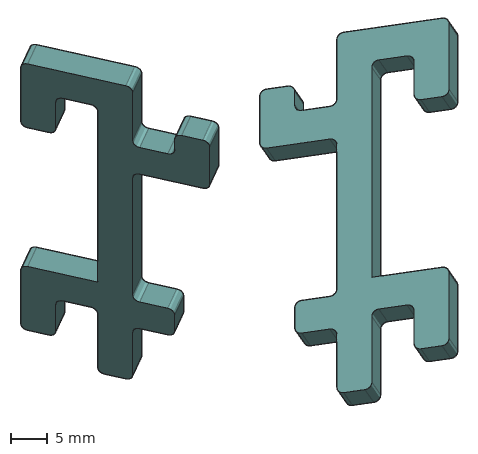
import cadquery as cq

height = 55.0
thickness = 4.0
bar_width = 5.0
corner_radius = 1.0

stem_left = 11.0
stem_right = stem_left + bar_width
peg_end = 22.0
right_hook_end = peg_end + bar_width

top_hook_tip = 43.0
bottom_hook_top = 17.0
bottom_hook_tip = 5.0
right_hook_bottom = 39.0
right_hook_tip = 48.0
peg_bottom = 10.0


outline = [
    (0, height),
    (stem_right, height),
    (stem_right, right_hook_bottom + bar_width),
    (peg_end, right_hook_bottom + bar_width),
    (peg_end, right_hook_tip),
    (right_hook_end, right_hook_tip),
    (right_hook_end, right_hook_bottom),
    (stem_right, right_hook_bottom),
    (stem_right, peg_bottom + bar_width),
    (peg_end, peg_bottom + bar_width),
    (peg_end, peg_bottom),
    (stem_right, peg_bottom),
    (stem_right, 0),
    (stem_left, 0),
    (stem_left, bottom_hook_top - bar_width),
    (bar_width, bottom_hook_top - bar_width),
    (bar_width, bottom_hook_tip),
    (0, bottom_hook_tip),
    (0, bottom_hook_top),
    (stem_left, bottom_hook_top),
    (stem_left, height - bar_width),
    (bar_width, height - bar_width),
    (bar_width, top_hook_tip),
    (0, top_hook_tip),
]

plate = cq.Workplane("XZ").polyline(outline).close().extrude(-thickness)

sharp_corner = cq.selectors.NearestToPointSelector((stem_left, thickness / 2, bottom_hook_top))
rounded_corners = cq.selectors.StringSyntaxSelector("|Y") - sharp_corner
result = plate.edges(rounded_corners).fillet(corner_radius)